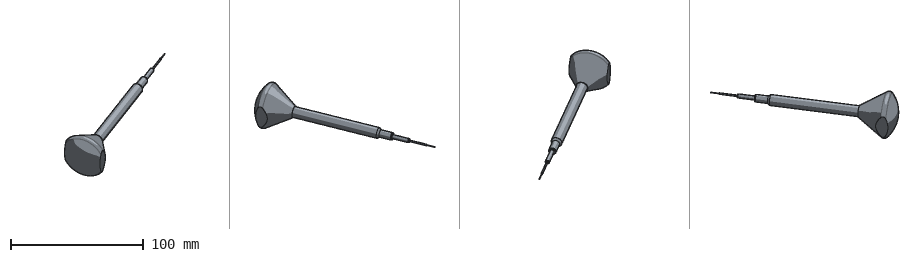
import cadquery as cq
import math

total_length = 144.0
tip_y = total_length / 2
head_end_y = tip_y - total_length

pin_diameter = 0.6
pin_end = 6.5
blade_diameter = 1.3
blade_chamfer = 0.3
blade_end = 20.5
shaft_diameter = 3.3
shaft_chamfer_radial = 0.5
shaft_chamfer_axial = 0.7
shaft_end = 34.0
collar_diameter = 5.9
collar_chamfer_radial = 0.3
collar_chamfer_axial = 0.9
collar_end = 44.0
body_diameter = 8.5
body_chamfer_radial = (body_diameter - collar_diameter) / 2
body_chamfer_axial = 1.7
body_end = 113.9

head_radius = 18.0
neck_radius = 4.6
rim_round = 3.0
dome_radius = 25.3
width_across_flats = 30.0


def chamfered_rod(diameter, start, end, chamfer_radial, chamfer_axial):
    """Round rod along Y whose end nearest the tip is chamfered; distances are behind the tip."""
    radius = diameter / 2
    return (
        cq.Workplane("XY")
        .moveTo(0, tip_y - start)
        .lineTo(radius - chamfer_radial, tip_y - start)
        .lineTo(radius, tip_y - start - chamfer_axial)
        .lineTo(radius, tip_y - end)
        .lineTo(0, tip_y - end)
        .close()
        .revolve(360, (0, 0, 0), (0, 1, 0))
    )


def shank():
    """Pin, blade, shaft, collar and body, growing in steps from the tip to the head."""
    pin = cq.Workplane("XZ", origin=(0, tip_y, 0)).circle(pin_diameter / 2).extrude(pin_end)
    blade = chamfered_rod(blade_diameter, pin_end, blade_end, blade_chamfer, blade_chamfer)
    shaft = chamfered_rod(shaft_diameter, blade_end, shaft_end, shaft_chamfer_radial, shaft_chamfer_axial)
    collar = chamfered_rod(collar_diameter, shaft_end, collar_end, collar_chamfer_radial, collar_chamfer_axial)
    body = chamfered_rod(body_diameter, collar_end, body_end, body_chamfer_radial, body_chamfer_axial)
    return pin.union(blade).union(shaft).union(collar).union(body)


def head():
    """Revolved head whose cone and dome both run tangent into the rim, cut to two flat sides."""
    neck_y = tip_y - body_end
    dome_centre_y = head_end_y + dome_radius

    rim_x = head_radius - rim_round
    rim_y = dome_centre_y - math.sqrt((dome_radius - rim_round) ** 2 - rim_x**2)
    dome_angle = math.atan2(rim_y - dome_centre_y, rim_x)

    neck_to_rim = math.hypot(rim_x - neck_radius, rim_y - neck_y)
    centre_direction = math.atan2(rim_y - neck_y, rim_x - neck_radius)
    cone_direction = centre_direction + math.asin(rim_round / neck_to_rim)
    cone_angle = cone_direction + math.pi / 2

    def rim_point(angle):
        return (rim_x + rim_round * math.cos(angle), rim_y + rim_round * math.sin(angle))

    def dome_point(angle):
        return (dome_radius * math.cos(angle), dome_centre_y + dome_radius * math.sin(angle))

    blank = (
        cq.Workplane("XY")
        .moveTo(0, neck_y)
        .lineTo(neck_radius, neck_y)
        .lineTo(*rim_point(cone_angle))
        .threePointArc(rim_point((cone_angle + dome_angle) / 2), dome_point(dome_angle))
        .threePointArc(dome_point((dome_angle - math.pi / 2) / 2), (0, head_end_y))
        .close()
        .revolve(360, (0, 0, 0), (0, 1, 0))
    )
    flats = cq.Workplane("XY").box(width_across_flats, 2 * total_length, total_length)
    return blank.intersect(flats)


result = shank().union(head())